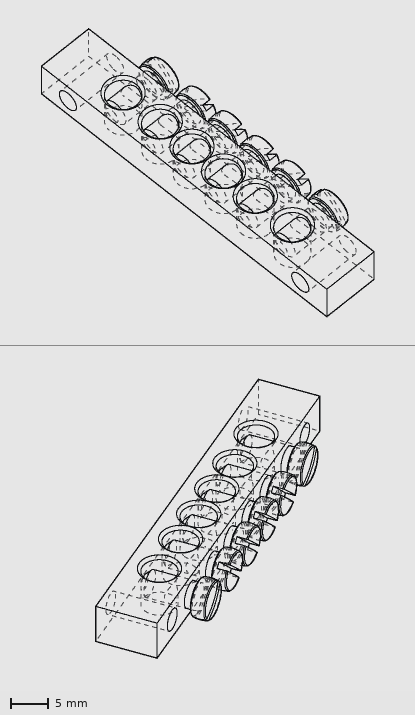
import cadquery as cq
import math

bar_length = 54
bar_width = 9.0
bar_height = 6.0

mount_hole_dia = 3.25
mount_hole_x = 22.0

wire_hole_dia = 5.0
countersink_dia = 5.95
countersink_angle = 90
terminal_pitch = 6.0
end_pitch = 7
wire_hole_y = bar_width / 2

shank_dia = 3.9
tip_y = 2.3
tip_chamfer = 0.75
head_gap = 1.2
head_top_y = 12.65
head_edge_dia = 5.65
head_bulge_dia = 5.9
head_chamfer = 0.15
head_dome_height = 0.2
slot_width = 0.9
slot_depth = 1.75

inner_x = terminal_pitch / 2
outer_x = inner_x + terminal_pitch
end_x = outer_x + end_pitch
slot_angle = 45
terminals = [
    (-end_x, -slot_angle),
    (-outer_x, slot_angle),
    (-inner_x, slot_angle),
    (inner_x, slot_angle),
    (outer_x, slot_angle),
    (end_x, -slot_angle),
]


def hole_along_y(x, diameter, start_y, end_y):
    """Cylinder along +Y at mid height, used as a cutter."""
    return cq.Workplane(
        cq.Solid.makeCylinder(diameter / 2, end_y - start_y, cq.Vector(x, start_y, 0), cq.Vector(0, 1, 0))
    )


def make_bar():
    """Bar with countersunk wire holes, screw holes and mounting holes."""
    bar = cq.Workplane("XY").box(bar_length, bar_width, bar_height).translate((0, bar_width / 2, 0))
    wire_points = [(x, wire_hole_y) for x, _ in terminals]
    bar = (
        bar.faces(">Z")
        .workplane(origin=(0, 0, bar_height / 2))
        .pushPoints(wire_points)
        .cskHole(wire_hole_dia, countersink_dia, countersink_angle)
    )
    for x, _ in terminals:
        bar = bar.cut(hole_along_y(x, shank_dia, wire_hole_y, bar_width))
    for x in (-mount_hole_x, mount_hole_x):
        bar = bar.cut(hole_along_y(x, mount_hole_dia, 0, bar_width))
    return bar


def make_screw(x, angle):
    """Slotted screw with a chamfered tip and a barrel-shaped, slightly domed head."""
    head_bottom_y = bar_width + head_gap
    head_rim_y = head_top_y - head_dome_height
    head_middle_y = (head_bottom_y + head_rim_y) / 2
    head_edge_radius = head_edge_dia / 2
    rim_radius = head_edge_radius - head_chamfer
    dome_radius = (rim_radius**2 + head_dome_height**2) / (2 * head_dome_height)
    dome_half_angle = math.asin(rim_radius / dome_radius) / 2
    dome_middle = (
        dome_radius * math.sin(dome_half_angle),
        head_top_y - dome_radius * (1 - math.cos(dome_half_angle)),
    )
    screw = (
        cq.Workplane("XY")
        .moveTo(0, tip_y)
        .lineTo(shank_dia / 2 - tip_chamfer, tip_y)
        .lineTo(shank_dia / 2, tip_y + tip_chamfer)
        .lineTo(shank_dia / 2, head_bottom_y)
        .lineTo(rim_radius, head_bottom_y)
        .lineTo(head_edge_radius, head_bottom_y + head_chamfer)
        .threePointArc((head_bulge_dia / 2, head_middle_y), (head_edge_radius, head_rim_y - head_chamfer))
        .lineTo(rim_radius, head_rim_y)
        .threePointArc(dome_middle, (0, head_top_y))
        .close()
        .revolve(360, (0, 0, 0), (0, 1, 0))
    )
    slot = (
        cq.Workplane("XY")
        .box(2 * head_bulge_dia, slot_depth, slot_width)
        .translate((0, head_top_y - slot_depth / 2, 0))
        .rotate((0, 0, 0), (0, 1, 0), -angle)
    )
    return screw.cut(slot).translate((x, 0, 0))


bar = make_bar()
screws = [make_screw(x, angle) for x, angle in terminals]

result = cq.Compound.makeCompound([bar.val(), *[screw.val() for screw in screws]])